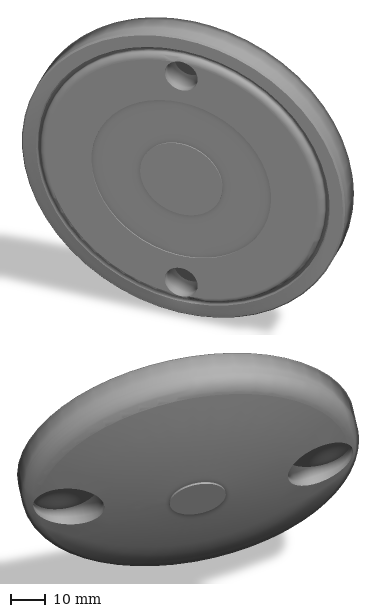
import cadquery as cq
import math

total_depth = 20.1
cap_radius = 49.5

rim_face_y = 1.5
rim_chamfer = 0.5
cylinder_end_y = 8.4
edge_blend_radius = 5.1
dome_apex_y = 19.7
dome_edge_radius = 45.7
dome_edge_y = 13.5

plate_thickness = 7.9
plate_radius = 44.55
groove_width = 1.0
groove_depth = 1.0
plate_lip_radius = plate_radius - groove_width
plate_edge_fillet = 2.0
seat_chamfer = 0.4
plate_recess_radius = 27.5
plate_recess_depth = 0.3

hole_offset = 36.9
small_hole_radius = 5.0
finger_hole_radius = 10.0
finger_hole_floor_y = 9.9

core_head_radius = 12.6
core_shank_radius = 8.2


def disc(radius, start_y, end_y, x=0, z=0):
    """Cylinder along Y between two depths."""
    axis_point = cq.Vector(x, start_y, z)
    solid = cq.Solid.makeCylinder(radius, end_y - start_y, axis_point, cq.Vector(0, 1, 0))
    return cq.Workplane(obj=solid)


def make_cap():
    dome_drop = dome_apex_y - dome_edge_y
    dome_radius = (dome_edge_radius**2 + dome_drop**2) / (2 * dome_drop)
    dome_center_y = dome_apex_y - dome_radius
    mid_radius = dome_edge_radius / 2
    dome_mid_y = dome_center_y + math.sqrt(dome_radius**2 - mid_radius**2)

    half_sweep = math.acos(dome_edge_radius / dome_radius) / 2
    blend_mid = (
        cap_radius - edge_blend_radius * (1 - math.cos(half_sweep)),
        cylinder_end_y + edge_blend_radius * math.sin(half_sweep),
    )
    cap = (
        cq.Workplane("XY")
        .moveTo(0, rim_face_y)
        .lineTo(cap_radius - rim_chamfer, rim_face_y)
        .lineTo(cap_radius, rim_face_y + rim_chamfer)
        .lineTo(cap_radius, cylinder_end_y)
        .threePointArc(blend_mid, (dome_edge_radius, dome_edge_y))
        .threePointArc((mid_radius, dome_mid_y), (0, dome_apex_y))
        .close()
        .revolve(360, (0, 0, 0), (0, 1, 0))
    )
    cap = cap.cut(disc(plate_radius, rim_face_y, plate_thickness))
    seat_edge = cap.faces("<Y").edges(cq.selectors.RadiusNthSelector(0))
    cap = seat_edge.chamfer(seat_chamfer)
    for side in (-1, 1):
        cap = cap.cut(disc(finger_hole_radius, finger_hole_floor_y, total_depth, x=side * hole_offset))
    return cap.cut(disc(core_shank_radius, plate_thickness, total_depth))


def make_plate():
    groove_floor_y = rim_face_y + groove_depth
    plate = disc(plate_lip_radius, 0, plate_thickness).faces("<Y").edges().fillet(plate_edge_fillet)
    plate = plate.union(disc(plate_radius, groove_floor_y, plate_thickness))
    plate = plate.cut(disc(plate_recess_radius, 0, plate_recess_depth))
    for side in (-1, 1):
        plate = plate.cut(disc(small_hole_radius, 0, plate_thickness, z=side * hole_offset))
    return plate.cut(disc(core_head_radius, 0, plate_thickness))


def make_core():
    head = disc(core_head_radius, 0, plate_thickness)
    return head.union(disc(core_shank_radius, plate_thickness, total_depth))


cap = make_cap()
plate = make_plate()
core = make_core()

result = cq.Compound.makeCompound([cap.solids().val(), plate.solids().val(), core.solids().val()])